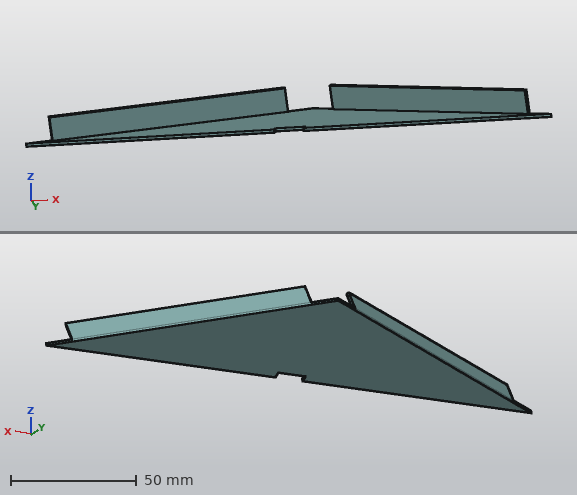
import cadquery as cq
import math

base_length = 214.2
plate_height = 50.0
thickness = 1.3
plate_tilt = 24.0
notch_width = 12.0
notch_depth = 3.0
flange_width = 10.3
flange_lean = 54.0
flange_outer_x = 97.5
flange_inner_x = 9.6

half_base = base_length / 2
tilt = math.radians(plate_tilt)
lean = math.radians(flange_lean)
plate_normal = cq.Vector(0, -math.sin(tilt), math.cos(tilt))


def make_plate():
    """Tilted triangular sheet with a notch at the middle of its base."""
    plane = cq.Plane(origin=(0, 0, 0), xDir=(1, 0, 0), normal=plate_normal.toTuple())
    half_notch = notch_width / 2
    outline = [
        (-half_base, 0),
        (-half_notch, 0),
        (-half_notch, notch_depth),
        (half_notch, notch_depth),
        (half_notch, 0),
        (half_base, 0),
        (0, plate_height),
    ]
    return cq.Workplane(plane).polyline(outline).close().extrude(thickness)


def sloping_edge_point(x):
    """Point on the top of the left sloping plate edge at the given X."""
    along_plate = plate_height * (1 + x / half_base)
    underside = cq.Vector(x, along_plate * math.cos(tilt), along_plate * math.sin(tilt))
    return underside + plate_normal * thickness


def make_left_flange():
    """Parallelogram sheet rising from the left edge, thickened inward."""
    low = sloping_edge_point(-flange_outer_x)
    high = sloping_edge_point(-flange_inner_x)
    edge = high - low
    rise_direction = cq.Vector(0, -math.cos(lean), math.sin(lean))
    rise = rise_direction * flange_width
    inward = edge.cross(rise).normalized()
    outline = cq.Wire.makePolygon([low, high, high + rise, low + rise], close=True)
    return cq.Workplane(cq.Solid.extrudeLinear(outline, [], inward * thickness))


left_flange = make_left_flange()
right_flange = left_flange.mirror("YZ")
result = make_plate().union(left_flange).union(right_flange)